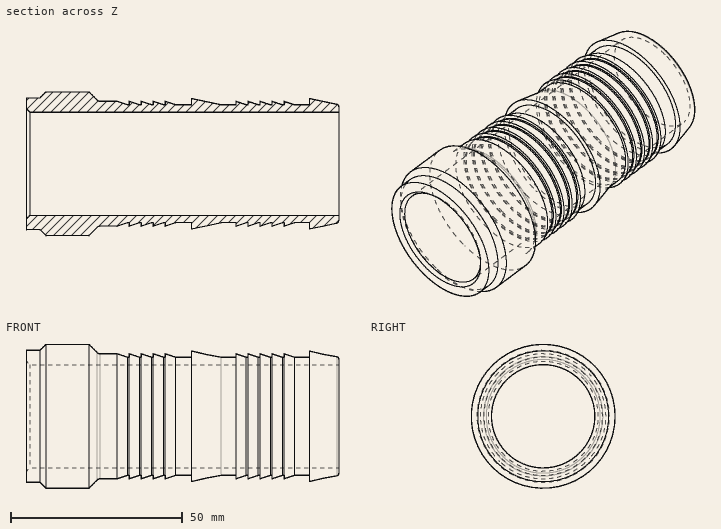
import cadquery as cq
import math

LENGTH = 91.0
BORE_RADIUS = 30.0 / 2
BORE_CHAMFER = 1.0

SPIGOT_RADIUS = 38.5 / 2
SPIGOT_LENGTH = 3.9
COLLAR_RADIUS = 41.95 / 2
COLLAR_END = 18.2
NECK_RADIUS = 36.5 / 2
NECK_FILLET = 1.2

TAIL_RADIUS = 34.5 / 2
TIP_FILLET = 0.8

SMALL_BARB_RADIUS = NECK_RADIUS
SMALL_BARB_LENGTH = 3.0
SMALL_BARB_PITCH = 3.5
SMALL_BARB_COUNT = 5
SMALL_GROUP_STARTS = (26.4, 61.0)
NECK_END = SMALL_GROUP_STARTS[0]

LARGE_BARB_RADIUS = 19.06
LARGE_BARB_LENGTH = 8.6
LARGE_BARB_STARTS = (48.05, LENGTH - LARGE_BARB_LENGTH)
TAIL_END = LENGTH - LARGE_BARB_LENGTH / 2


def revolve(profile):
    """Turn a closed profile, drawn as (X, radius), about the X axis."""
    return profile.close().revolve(360, (0, 0, 0), (1, 0, 0))


def make_body():
    """Spigot, collar, neck and plain tail as one solid bar."""
    front_rise = COLLAR_RADIUS - SPIGOT_RADIUS
    half_sweep = math.radians(45) / 2
    fillet_tangent = NECK_FILLET * math.tan(half_sweep)
    chamfer_foot = COLLAR_END + COLLAR_RADIUS - NECK_RADIUS
    fillet_step = fillet_tangent * math.sin(math.radians(45))
    fillet_start = (chamfer_foot - fillet_step, NECK_RADIUS + fillet_step)
    fillet_end = (chamfer_foot + fillet_tangent, NECK_RADIUS)
    fillet_middle = (
        fillet_end[0] - NECK_FILLET * math.sin(half_sweep),
        NECK_RADIUS + NECK_FILLET * (1 - math.cos(half_sweep)),
    )
    return revolve(
        cq.Workplane("XY")
        .lineTo(0, SPIGOT_RADIUS)
        .lineTo(SPIGOT_LENGTH, SPIGOT_RADIUS)
        .lineTo(SPIGOT_LENGTH + front_rise, COLLAR_RADIUS)
        .lineTo(COLLAR_END, COLLAR_RADIUS)
        .lineTo(*fillet_start)
        .threePointArc(fillet_middle, fillet_end)
        .lineTo(NECK_END, NECK_RADIUS)
        .lineTo(NECK_END, TAIL_RADIUS)
        .lineTo(TAIL_END, TAIL_RADIUS)
        .lineTo(TAIL_END, 0)
    )


def make_barb(start, length, peak_radius):
    """Conical barb, square toward the collar and tapering down to the tail radius."""
    return revolve(
        cq.Workplane("XY")
        .moveTo(start, 0)
        .lineTo(start, peak_radius)
        .lineTo(start + length, TAIL_RADIUS)
        .lineTo(start + length, 0)
    )


result = make_body()
for group_start in SMALL_GROUP_STARTS:
    for index in range(SMALL_BARB_COUNT):
        barb_start = group_start + index * SMALL_BARB_PITCH
        result = result.union(make_barb(barb_start, SMALL_BARB_LENGTH, SMALL_BARB_RADIUS))
for barb_start in LARGE_BARB_STARTS:
    result = result.union(make_barb(barb_start, LARGE_BARB_LENGTH, LARGE_BARB_RADIUS))

result = result.faces(">X").edges().fillet(TIP_FILLET)
result = result.cut(cq.Workplane("YZ").circle(BORE_RADIUS).extrude(LENGTH))
result = result.faces("<X").edges(cq.selectors.RadiusNthSelector(0)).chamfer(BORE_CHAMFER)